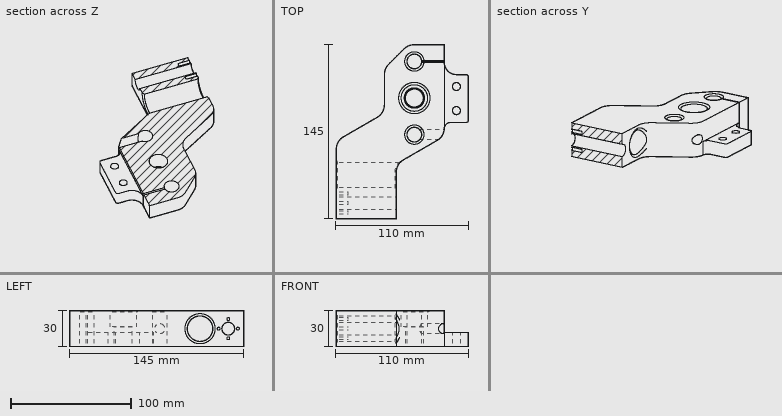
import cadquery as cq
import math

length = 145.0
thickness = 30.0
body_width = 50.0
head_shift = 40.0
slope = math.tan(math.radians(30))
left_bend_y = 64.8
right_bend_y = 45.5
corner_cut = 20.0
bend_radius = 12.0
head_right = head_shift + body_width
mid_z = thickness / 2

hole_x = head_shift + body_width / 2
bearing_y = 100.5
hole_pitch = 30.5
pin_diameter = 12.0
bearing_diameter = 22.0
bearing_depth = 13.0
through_diameter = 15.0
rim_width = 2.0
rim_depth = 1.2
step_rim_width = 1.0
step_rim_depth = 0.6
slit_width = 1.2

tab_reach = 20.0
tab_bottom = 80.0
tab_top = 120.0
tab_thickness = 12.0
tab_upper_radius = 10.0
tab_lower_radius = 5.0
tab_corner = 2.0
tab_hole_diameter = 6.5
tab_hole_pitch = 20.0

cross_bore_y = 36.5
cross_bore_diameter = 21.0
shaft_hole_y = 13.0
shaft_hole_diameter = 10.5
screw_circle_radius = 8.0
screw_diameter = 2.5
screw_depth = 10.0
lock_hole_diameter = 8.4


def make_body():
    outline = [
        (0, 0),
        (body_width, 0),
        (body_width, right_bend_y),
        (head_right, right_bend_y + (head_right - body_width) * slope),
        (head_right, length),
        (head_shift + corner_cut, length),
        (head_shift, length - corner_cut),
        (head_shift, left_bend_y + head_shift * slope),
        (0, left_bend_y),
    ]
    bends = outline[2:4] + outline[5:]
    body = cq.Workplane("XY").polyline(outline).close().extrude(thickness)
    for x, y in bends:
        corner = cq.selectors.BoxSelector((x - 1.5, y - 1.5, -1.5), (x + 1.5, y + 1.5, thickness + 1.5))
        body = body.edges("|Z").edges(corner).fillet(bend_radius)
    return body


def make_tab():
    right = head_right + tab_reach
    root = hole_x + bearing_diameter
    tab = (
        cq.Workplane("XY")
        .moveTo(root, tab_bottom - tab_lower_radius)
        .lineTo(head_right, tab_bottom - tab_lower_radius)
        .radiusArc((head_right + tab_lower_radius, tab_bottom), tab_lower_radius)
        .lineTo(right - tab_corner, tab_bottom)
        .radiusArc((right, tab_bottom + tab_corner), -tab_corner)
        .lineTo(right, tab_top - tab_corner)
        .radiusArc((right - tab_corner, tab_top), -tab_corner)
        .lineTo(head_right + tab_upper_radius, tab_top)
        .radiusArc((head_right, tab_top + tab_upper_radius), tab_upper_radius)
        .lineTo(root, tab_top + tab_upper_radius)
        .close()
        .extrude(tab_thickness)
    )
    middle_y = (tab_bottom + tab_top) / 2
    holes = [(head_right + tab_reach / 2, middle_y + side * tab_hole_pitch / 2) for side in (-1, 1)]
    drills = cq.Workplane("XY").pushPoints(holes).circle(tab_hole_diameter / 2).extrude(tab_thickness)
    return tab.cut(drills)


def vertical_hole(y, diameter, depth):
    """Cylinder sunk from the top face."""
    return cq.Workplane("XY", origin=(hole_x, y, thickness)).circle(diameter / 2).extrude(-depth)


def countersink(plane, diameter, width, depth):
    """Cone that breaks a hole rim; the plane sits on the rim and its normal points out of the hole."""
    taper = math.degrees(math.atan2(width, depth))
    return cq.Workplane(plane).circle(diameter / 2 + width).extrude(-depth, taper=taper)


def top_countersink(y, diameter, top_z, width, depth):
    """Countersink of a vertical hole at the given height."""
    plane = cq.Plane(origin=(hole_x, y, top_z), xDir=(1, 0, 0), normal=(0, 0, 1))
    return countersink(plane, diameter, width, depth)


def cross_hole(y, z, diameter, start_x, depth):
    """Cylinder running in +X."""
    return cq.Workplane("YZ", origin=(start_x, y, z)).circle(diameter / 2).extrude(depth)


result = make_body()

result = result.cut(cross_hole(cross_bore_y, mid_z, cross_bore_diameter, 0, head_right))
entry_plane = cq.Plane(origin=(0, cross_bore_y, mid_z), xDir=(0, 1, 0), normal=(-1, 0, 0))
result = result.cut(countersink(entry_plane, cross_bore_diameter, rim_width, rim_depth))
exit_zone = cq.selectors.BoxSelector(
    (body_width - 1.5, cross_bore_y - cross_bore_diameter, 0.1),
    (head_right, cross_bore_y + cross_bore_diameter, thickness - 0.1),
    boundingbox=True,
)
result = result.edges(exit_zone).chamfer(rim_width, rim_depth)

result = result.union(make_tab())

pin_low_y = bearing_y - hole_pitch
pin_high_y = bearing_y + hole_pitch
for pin_y in (pin_low_y, pin_high_y):
    result = result.cut(vertical_hole(pin_y, pin_diameter, thickness))
    result = result.cut(top_countersink(pin_y, pin_diameter, thickness, rim_width, rim_depth))
result = result.cut(vertical_hole(bearing_y, bearing_diameter, bearing_depth))
result = result.cut(top_countersink(bearing_y, bearing_diameter, thickness, rim_width, rim_depth))
result = result.cut(vertical_hole(bearing_y, through_diameter, thickness))
step_z = thickness - bearing_depth
result = result.cut(top_countersink(bearing_y, through_diameter, step_z, step_rim_width, step_rim_depth))

slit = cq.Workplane("XY").box(head_right - hole_x, slit_width, thickness, centered=(False, True, False))
result = result.cut(slit.translate((hole_x, pin_high_y, 0)))

result = result.cut(cross_hole(pin_low_y, mid_z, lock_hole_diameter, hole_x, head_right - hole_x))

result = result.cut(cross_hole(shaft_hole_y, mid_z, shaft_hole_diameter, 0, body_width))
for dy, dz in ((1, 0), (0, 1), (-1, 0), (0, -1)):
    screw_y = shaft_hole_y + dy * screw_circle_radius
    screw_z = mid_z + dz * screw_circle_radius
    result = result.cut(cross_hole(screw_y, screw_z, screw_diameter, 0, screw_depth))